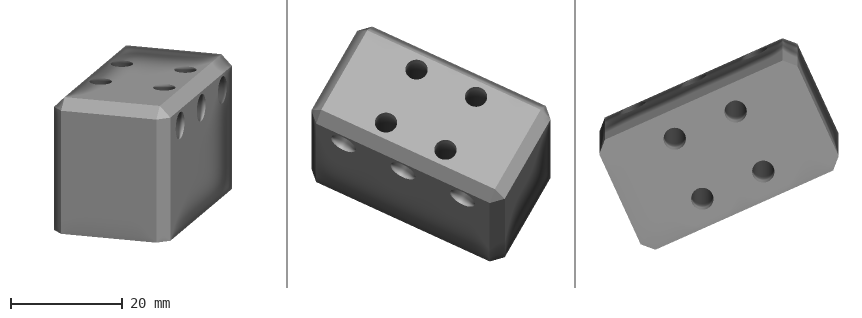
import cadquery as cq

width = 22.0
length = 39.0
height = 25.0
chamfer_size = 2.0

vertical_hole_diameter = 4.0
vertical_hole_spacing = 12.0

cross_hole_diameter = 5.0
cross_hole_spacing = 12.0
cross_hole_count = 3
cross_hole_depth_below_top = 5.0


def make_block():
    """Block standing on Z = 0, chamfered on its upright and top edges."""
    block = cq.Workplane("XY").box(width, length, height, centered=(True, True, False))
    return block.edges("|Z or >Z").chamfer(chamfer_size)


def make_vertical_holes():
    """Four cylinders along Z, spanning the block height."""
    return (
        cq.Workplane("XY")
        .rarray(vertical_hole_spacing, vertical_hole_spacing, 2, 2)
        .circle(vertical_hole_diameter / 2)
        .extrude(height)
    )


def make_cross_holes():
    """Row of cylinders along X, spanning the block width."""
    cross_hole_z = height - cross_hole_depth_below_top
    return (
        cq.Workplane("YZ", origin=(0, 0, cross_hole_z))
        .rarray(cross_hole_spacing, 1, cross_hole_count, 1)
        .circle(cross_hole_diameter / 2)
        .extrude(width / 2, both=True)
    )


result = make_block().cut(make_vertical_holes()).cut(make_cross_holes())